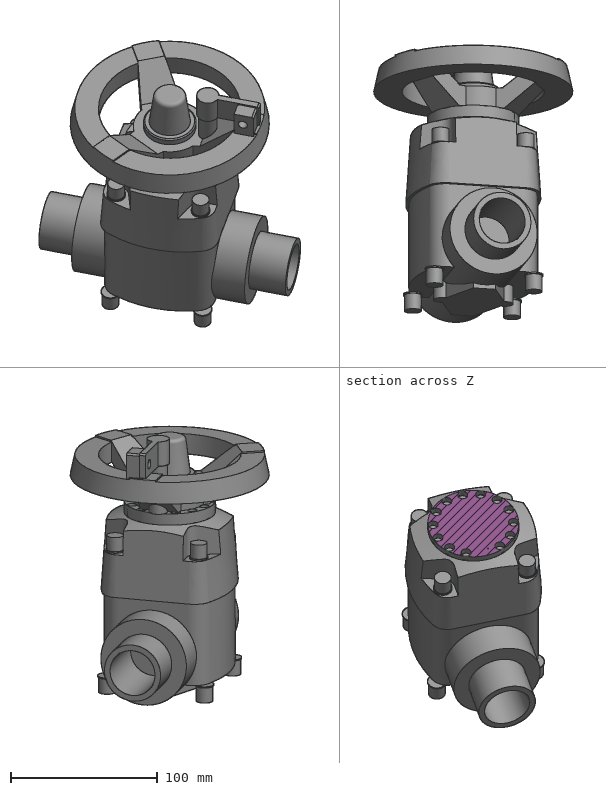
import cadquery as cq
import math


overall_length = 174.0
spigot_diameter = 40.0
bore_diameter = 32.0
shoulder_diameter = 61.0
shoulder_length = 122.1

overall_height = 182.8
foot_z = -33.3
body_bottom_z = -20.8
body_top_z = 38.0
seat_z = 67.8
cover_top_z = 89.4
collar_top_z = 97.5
hub_top_z = 113.0
rim_bottom_z = 116.0
rim_top_z = 130.4
spoke_top_z = 131.5
lever_bottom_z = 132.0
knob_top_z = 143.5
lever_top_z = foot_z + overall_height

body_half_x = 38.8
body_half_y = 43.0
body_flat = 25.0
body_corner = 13.2
cover_base_half_x = 41.3
cover_base_half_y = 45.2
cover_flat = 26.3
cover_corner = 12.8
cover_draft = 3.5
cover_slope = 0.35
collar_diameter = 62.3

pocket_radius = 8.5
pocket_angle = 20
bolt_place = 29.8
bolt_diameter = 11.5
washer_diameter = 12.8
washer_height = 1.0
bolt_head_z = 78.8
foot_bolt_x = 32.5
foot_bolt_y = 34.7
foot_bolt_z = -32.7

foot_half_x = 33.6
foot_tip_half_y = 7.7
foot_half_y = 22.9
foot_post_y = 22.0
foot_post_diameter = 11.5

index_count = 14
index_circle_radius = 27.5
index_diameter = 6.4

rim_diameter = 135.8
rim_top_diameter = 129.5
rim_inner_diameter = 97.0
hub_radius = 24.9
spoke_count = 3
spoke_root_half_width = 13.5
spoke_tip_half_width = 9.5
spoke_bottom_reach = 47.0

ring_radius = 18.0
ring_height = 5.0
ring_chamfer = 1.0
knob_base_radius = 14.0
knob_top_radius = 10.8
knob_fillet = 2.7

pin_x = 26.9
pin_diameter = 12.8
lever_hub_diameter = 15.2
lever_thickness = 4.4
lever_end_x = 63.6
lug_start_x = 48.6
lug_end_x = 62.3
lug_front_y = -11.9
lug_top_z = 148.5
lug_hole_x = 54.8
lug_hole_z = 139.9
lug_hole_diameter = 6.4
lever_chamfer = 1.3


def cylinder(diameter, z0, z1, x=0, y=0):
    """Upright cylinder between two levels."""
    return cq.Workplane("XY", origin=(x, y, z0)).circle(diameter / 2).extrude(z1 - z0)


def box(x0, x1, y0, y1, z0, z1):
    """Box between two corners."""
    return cq.Workplane("XY").box(x1 - x0, y1 - y0, z1 - z0, centered=False).translate((x0, y0, z0))


def barrel_outline(work, half_x, half_y, flat, corner):
    """Outline with flat X sides, bulged Y sides and tangent round corners."""
    centre_x = half_x - corner
    bulge_depth = half_y - flat
    bulge = (centre_x**2 + bulge_depth**2 - corner**2) / (2 * (bulge_depth - corner))
    lean = math.asin(centre_x / (bulge - corner))
    join_x = centre_x + corner * math.sin(lean)
    join_y = flat + corner * math.cos(lean)
    middle = (math.pi / 2 + lean) / 2
    mid_x = centre_x + corner * math.sin(middle)
    mid_y = flat + corner * math.cos(middle)
    return (
        work.moveTo(half_x, -flat)
        .lineTo(half_x, flat)
        .threePointArc((mid_x, mid_y), (join_x, join_y))
        .threePointArc((0, half_y), (-join_x, join_y))
        .threePointArc((-mid_x, mid_y), (-half_x, flat))
        .lineTo(-half_x, -flat)
        .threePointArc((-mid_x, -mid_y), (-join_x, -join_y))
        .threePointArc((0, -half_y), (join_x, -join_y))
        .threePointArc((mid_x, -mid_y), (half_x, -flat))
        .close()
    )


def corner_pocket():
    """Cutter that opens a bolt seat in the +X +Y corner of the cover."""
    outside = 2 * cover_base_half_y
    angle = math.radians(pocket_angle)
    mid_angle = (math.pi / 2 + angle) / 2
    reach = outside - bolt_place
    tangent_x = bolt_place - pocket_radius * math.cos(angle)
    tangent_y = bolt_place - pocket_radius * math.sin(angle)
    mid_x = bolt_place - pocket_radius * math.cos(mid_angle)
    mid_y = bolt_place - pocket_radius * math.sin(mid_angle)
    return (
        cq.Workplane("XY", origin=(0, 0, seat_z))
        .moveTo(outside, bolt_place - pocket_radius)
        .lineTo(bolt_place, bolt_place - pocket_radius)
        .threePointArc((mid_x, mid_y), (tangent_x, tangent_y))
        .lineTo(tangent_x - reach * math.tan(angle), tangent_y + reach)
        .lineTo(outside, outside)
        .close()
        .extrude(cover_top_z - seat_z)
    )


def in_four_corners(shape):
    """The shape and its mirror images in the other three corners."""
    pair = shape.union(shape.mirror("YZ"))
    return pair.union(pair.mirror("XZ"))


def pipe():
    ends = cq.Workplane("YZ").circle(spigot_diameter / 2).extrude(overall_length / 2, both=True)
    shoulder = cq.Workplane("YZ").circle(shoulder_diameter / 2).extrude(shoulder_length / 2, both=True)
    return ends.union(shoulder)


def bores():
    """Blind bores from both pipe ends to the body wall."""
    depth = overall_length / 2 - body_half_x
    bore = cq.Workplane("YZ", origin=(body_half_x, 0, 0)).circle(bore_diameter / 2).extrude(depth)
    return bore.union(bore.mirror("YZ"))


def body():
    work = cq.Workplane("XY", origin=(0, 0, body_bottom_z))
    outline = barrel_outline(work, body_half_x, body_half_y, body_flat, body_corner)
    return outline.extrude(body_top_z - body_bottom_z)


def cover():
    """Drafted cover with a conical roof and four bolt seats."""
    work = cq.Workplane("XY", origin=(0, 0, body_top_z))
    base = barrel_outline(work, cover_base_half_x, cover_base_half_y, cover_flat, cover_corner)
    top_work = base.workplane(offset=cover_top_z - body_top_z)
    top = barrel_outline(
        top_work,
        cover_base_half_x - cover_draft,
        cover_base_half_y - cover_draft,
        cover_flat,
        cover_corner - cover_draft,
    )
    drafted = top.loft(ruled=True)
    roof_edge = 2 * cover_base_half_x
    roof_edge_z = cover_top_z - cover_slope * (roof_edge - collar_diameter / 2)
    roof = (
        cq.Workplane("XZ")
        .polyline(
            [
                (0, body_top_z),
                (roof_edge, body_top_z),
                (roof_edge, roof_edge_z),
                (collar_diameter / 2, cover_top_z),
                (0, cover_top_z),
            ]
        )
        .close()
        .revolve(360, (0, 0, 0), (0, 1, 0))
    )
    return drafted.intersect(roof).cut(in_four_corners(corner_pocket()))


def collar():
    """Round collar with a ring of index holes; the lock pin fills the hole at angle zero."""
    shape = cylinder(collar_diameter, cover_top_z, collar_top_z)
    for i in range(1, index_count):
        angle = 2 * math.pi * i / index_count
        x = index_circle_radius * math.cos(angle)
        y = index_circle_radius * math.sin(angle)
        shape = shape.cut(cylinder(index_diameter, cover_top_z, collar_top_z, x, y))
    return shape


def cover_bolt():
    shank = cylinder(bolt_diameter, seat_z, bolt_head_z, bolt_place, bolt_place)
    washer = cylinder(washer_diameter, seat_z, seat_z + washer_height, bolt_place, bolt_place)
    return shank.union(washer)


def foot_bolt():
    shank = cylinder(bolt_diameter, foot_bolt_z, body_bottom_z, foot_bolt_x, foot_bolt_y)
    washer_z = body_bottom_z - washer_height
    washer = cylinder(washer_diameter, washer_z, body_bottom_z, foot_bolt_x, foot_bolt_y)
    return shank.union(washer)


def foot():
    """Lozenge foot with a round post at each Y corner."""
    lozenge = (
        cq.Workplane("XY", origin=(0, 0, foot_z))
        .polyline(
            [
                (foot_half_x, -foot_tip_half_y),
                (foot_half_x, foot_tip_half_y),
                (0, foot_half_y),
                (-foot_half_x, foot_tip_half_y),
                (-foot_half_x, -foot_tip_half_y),
                (0, -foot_half_y),
            ]
        )
        .close()
        .extrude(body_bottom_z - foot_z)
    )
    for y in (-foot_post_y, foot_post_y):
        lozenge = lozenge.union(cylinder(foot_post_diameter, foot_z, body_bottom_z, 0, y))
    return lozenge


def rim():
    return (
        cq.Workplane("XZ")
        .polyline(
            [
                (rim_inner_diameter / 2, rim_bottom_z),
                (rim_diameter / 2, rim_bottom_z),
                (rim_top_diameter / 2, rim_top_z),
                (rim_inner_diameter / 2, rim_top_z),
            ]
        )
        .close()
        .revolve(360, (0, 0, 0), (0, 1, 0))
    )


def spoke():
    """Spoke along +X that rises from the hub and lies over the rim."""
    rim_inner = rim_inner_diameter / 2
    rim_outer = rim_diameter / 2
    profile = (
        cq.Workplane("XZ")
        .polyline(
            [
                (0, collar_top_z),
                (hub_radius, collar_top_z),
                (spoke_bottom_reach, rim_bottom_z),
                (rim_inner, rim_bottom_z),
                (rim_inner, rim_top_z),
                (rim_outer, rim_top_z),
                (rim_outer, spoke_top_z),
                (rim_inner, spoke_top_z),
                (hub_radius, hub_top_z),
                (0, hub_top_z),
            ]
        )
        .close()
        .extrude(hub_radius, both=True)
    )
    taper = (spoke_root_half_width - spoke_tip_half_width) / (rim_inner - hub_radius)
    inner_x = hub_radius / 2
    inner_half = spoke_root_half_width + taper * (hub_radius - inner_x)
    plan = (
        cq.Workplane("XY", origin=(0, 0, collar_top_z))
        .polyline(
            [
                (inner_x, -inner_half),
                (rim_inner, -spoke_tip_half_width),
                (rim_outer, -spoke_tip_half_width),
                (rim_outer, spoke_tip_half_width),
                (rim_inner, spoke_tip_half_width),
                (inner_x, inner_half),
            ]
        )
        .close()
        .extrude(spoke_top_z - collar_top_z)
    )
    return profile.intersect(plan).intersect(cylinder(rim_top_diameter, collar_top_z, spoke_top_z))


def handwheel():
    wheel = rim().union(cylinder(2 * hub_radius, collar_top_z, hub_top_z))
    for i in range(spoke_count):
        wheel = wheel.union(spoke().rotate((0, 0, 0), (0, 0, 1), 360 * i / spoke_count))
    return wheel


def knob():
    """Tapered knob with a rounded top, standing on a chamfered ring."""
    ring_top_z = hub_top_z + ring_height
    ring = cylinder(2 * ring_radius, hub_top_z, ring_top_z).faces(">Z").chamfer(ring_chamfer)
    cone = (
        cq.Workplane("XY", origin=(0, 0, ring_top_z))
        .circle(knob_base_radius)
        .workplane(offset=knob_top_z - ring_top_z)
        .circle(knob_top_radius)
        .loft()
        .faces(">Z")
        .edges()
        .fillet(knob_fillet)
    )
    return ring.union(cone)


def lock_lever():
    """Lock pin through the hub, with a lever plate and a drilled lug on the rim."""
    half = lever_thickness / 2
    pin = cylinder(pin_diameter, collar_top_z, lever_bottom_z, pin_x)
    lever_hub = cylinder(lever_hub_diameter, lever_bottom_z, lever_top_z, pin_x)
    plate = box(pin_x, lever_end_x, -half, half, lever_bottom_z, lever_top_z)
    plate = plate.edges(">X and >Z").chamfer(lever_chamfer)
    lug = box(lug_start_x, lug_end_x, lug_front_y, 0, rim_top_z, lug_top_z)
    lug = lug.edges(">X and >Z").chamfer(lever_chamfer)
    hole = (
        cq.Workplane("XZ", origin=(lug_hole_x, 0, lug_hole_z))
        .circle(lug_hole_diameter / 2)
        .extrude(-2 * lug_front_y, both=True)
    )
    return pin.union(lever_hub).union(plate).union(lug).cut(hole)


result = pipe().union(body()).union(foot()).cut(bores())
result = result.union(in_four_corners(foot_bolt()))
result = result.union(cover()).union(in_four_corners(cover_bolt()))
result = result.union(collar()).union(handwheel()).union(knob()).union(lock_lever())